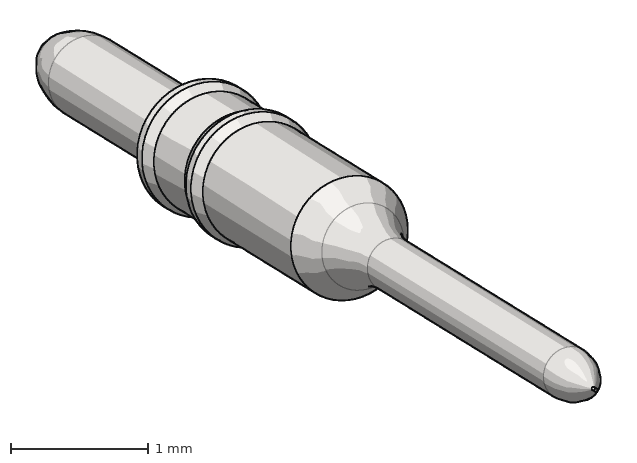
import cadquery as cq
import math

pin_radius = 0.63 / 2
body_radius = 0.94 / 2
ridge_radius = 1.03 / 2
neck_radius = 0.33
tail_radius = 0.405 / 2
tip_radius = 0.025 / 2
root_fillet = 0.05

length = 9.42
nose_end = 0.72
collar_face = 2.66
ridge_start = 3.38
body_end = 5.2
neck_cone_end = 5.43
tail_start = 5.93
tail_end = 8.95
tip_start = 9.37

crest_width = 0.085
flank_width = 0.11
collar_crest_end = collar_face + crest_width
collar_end = collar_crest_end + flank_width
crest_start = ridge_start + flank_width
crest_end = crest_start + crest_width
ridge_end = crest_end + flank_width

start_x = -length / 2
root_fillet_middle = (
    collar_face - root_fillet * (1 - math.sin(math.radians(45))),
    pin_radius + root_fillet * (1 - math.cos(math.radians(45))),
)


def middle_of_arc(level_point, other_point):
    """Middle of an arc that runs parallel to the axis at level_point."""
    run = other_point[0] - level_point[0]
    rise = other_point[1] - level_point[1]
    arc_radius = (run**2 + rise**2) / (2 * abs(rise))
    half_angle = math.atan2(abs(rise), abs(run))
    x = level_point[0] + math.copysign(arc_radius * math.sin(half_angle), run)
    y = level_point[1] + math.copysign(arc_radius * (1 - math.cos(half_angle)), rise)
    return (x, y)


nose_point = (0, 0)
nose_base = (nose_end, pin_radius)
neck_point = (neck_cone_end, neck_radius)
tail_point = (tail_start, tail_radius)
tail_base = (tail_end, tail_radius)
tip_base = (tip_start, tip_radius)

profile = (
    cq.Workplane("XY", origin=(start_x, 0, 0))
    .moveTo(*nose_point)
    .threePointArc(middle_of_arc(nose_base, nose_point), nose_base)
    .lineTo(collar_face - root_fillet, pin_radius)
    .threePointArc(root_fillet_middle, (collar_face, pin_radius + root_fillet))
    .lineTo(collar_face, ridge_radius)
    .lineTo(collar_crest_end, ridge_radius)
    .lineTo(collar_end, body_radius)
    .lineTo(ridge_start, body_radius)
    .lineTo(crest_start, ridge_radius)
    .lineTo(crest_end, ridge_radius)
    .lineTo(ridge_end, body_radius)
    .lineTo(body_end, body_radius)
    .lineTo(*neck_point)
    .threePointArc(middle_of_arc(tail_point, neck_point), tail_point)
    .lineTo(*tail_base)
    .threePointArc(middle_of_arc(tail_base, tip_base), tip_base)
    .lineTo(length, tip_radius)
    .lineTo(length, 0)
    .close()
)

result = profile.revolve(360, (0, 0, 0), (1, 0, 0))